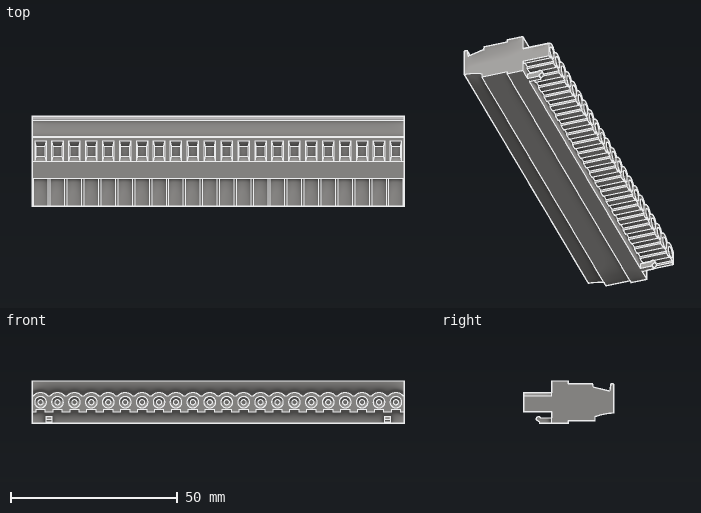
import cadquery as cq

length = 111.8
depth = 27.0
height = 12.7
poles = 22
pitch = length / poles

housing_front = 8.4
collar_rear = 13.4
shelf_drop = 0.8
shelf_rear_top = 20.7
shelf_rear_base = 20.9
shelf_rear_bottom = 21.5
gutter_high = 11.0
gutter_low = 9.7
rear_wall_base = 1.2
rear_wall_tip = 0.9
rear_wall_chamfer = 0.2
rear_bottom = 3.1
rear_bottom_curve_end = 2.0
rear_bottom_curve_middle = (24.3, 2.8)
shelf_top = height - shelf_drop

plug_bottom = 3.5
plug_valley = 8.3
socket_height = 6.4
plug_top = 9.3
barrel_width = 4.4
notch_width = 2.8
notch_top = 4.1

socket_diameter = 3.5
socket_floor_diameter = 1.6
socket_depth = 1.8

window_width = 3.5
window_length = 6.1
window_depth = 1.6
window_side_slope = 0.39
window_front_slope = 1.6
window_rear_slope = 1.6

latch_width = 1.7
latch_thickness = 1.7
latch_hook_height = 2.1
latch_lip = 0.5
latch_tip = (3.7, 1.1)
latch_nose_middle = (3.9, 1.8)
latch_hook_rear = 4.7
latch_ramp_rear = 5.1


def make_housing():
    return (
        cq.Workplane("YZ")
        .moveTo(housing_front, 0)
        .lineTo(collar_rear, 0)
        .lineTo(collar_rear, shelf_drop)
        .lineTo(shelf_rear_bottom, shelf_drop)
        .lineTo(shelf_rear_bottom, rear_bottom_curve_end)
        .threePointArc(rear_bottom_curve_middle, (depth, rear_bottom))
        .lineTo(depth, shelf_top - rear_wall_chamfer)
        .lineTo(depth - rear_wall_chamfer, shelf_top)
        .lineTo(depth - rear_wall_tip, shelf_top)
        .lineTo(depth - rear_wall_base, gutter_low)
        .lineTo(shelf_rear_base, gutter_high)
        .lineTo(shelf_rear_top, shelf_top)
        .lineTo(collar_rear, shelf_top)
        .lineTo(collar_rear, height)
        .lineTo(housing_front, height)
        .close()
        .extrude(length)
    )


def make_plug(centers):
    """Slab with a rounded barrel above and a shallow notch below every pole."""
    outline = cq.Workplane("XZ").moveTo(0, plug_bottom).lineTo(0, plug_valley)
    for x in centers:
        outline = (
            outline.lineTo(x - barrel_width / 2, plug_valley)
            .threePointArc((x, plug_top), (x + barrel_width / 2, plug_valley))
        )
    outline = outline.lineTo(length, plug_valley).lineTo(length, plug_bottom)
    for x in reversed(centers):
        outline = (
            outline.lineTo(x + notch_width / 2, plug_bottom)
            .lineTo(x + notch_width / 2, notch_top)
            .lineTo(x - notch_width / 2, notch_top)
            .lineTo(x - notch_width / 2, plug_bottom)
        )
    return outline.close().extrude(-housing_front)


def make_socket(x):
    return cq.Workplane(
        cq.Solid.makeCone(
            socket_diameter / 2,
            socket_floor_diameter / 2,
            socket_depth,
            pnt=cq.Vector(x, 0, socket_height),
            dir=cq.Vector(0, 1, 0),
        )
    )


def make_window(x):
    """Rectangular funnel with four sloping walls and a flat floor."""
    opening_front = collar_rear
    opening_rear = opening_front + window_length
    floor_front = opening_front + window_front_slope
    floor_rear = opening_rear - window_rear_slope
    floor_width = window_width - 2 * window_side_slope
    return (
        cq.Workplane("XY")
        .workplane(offset=shelf_top)
        .center(x, (opening_front + opening_rear) / 2)
        .rect(window_width, window_length)
        .workplane(offset=-window_depth)
        .center(0, (floor_front + floor_rear - opening_front - opening_rear) / 2)
        .rect(floor_width, floor_rear - floor_front)
        .loft(ruled=True)
    )


def make_latch(x):
    return (
        cq.Workplane("YZ")
        .workplane(offset=x - latch_width / 2)
        .moveTo(housing_front, 0)
        .lineTo(latch_hook_rear, 0)
        .lineTo(latch_hook_rear, latch_lip)
        .lineTo(*latch_tip)
        .threePointArc(latch_nose_middle, (latch_hook_rear, latch_hook_height))
        .lineTo(latch_ramp_rear, latch_thickness)
        .lineTo(housing_front, latch_thickness)
        .close()
        .extrude(latch_width)
    )


pole_centers = [(pole + 0.5) * pitch for pole in range(poles)]

result = make_housing().union(make_plug(pole_centers))
for latch_x in (pitch, length - pitch):
    result = result.union(make_latch(latch_x))
for pole_x in pole_centers:
    result = result.cut(make_socket(pole_x)).cut(make_window(pole_x))